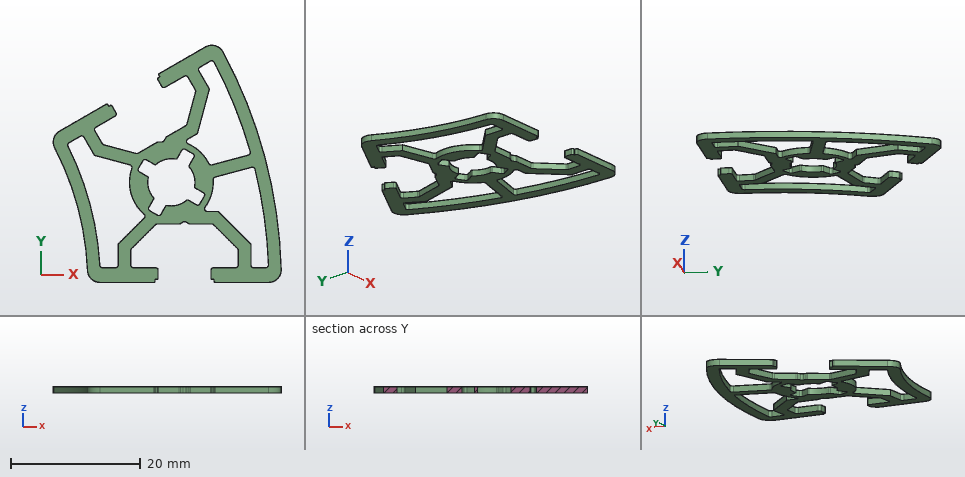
import cadquery as cq
import math

thickness = 1.0
sweep_angle = 30.0
outer_radius = 75.0
inner_radius = 45.0
mean_radius = (outer_radius + inner_radius) / 2
wall = 2.0
corner_radius = wall

lip_thickness = 2.3
mouth_half_width = 4.08
mouth_step = 0.48
leg_half_width = 8.3
leg_height = 5.15
land_height = 9.05
flank_angle = 45.0
land_half_width = leg_half_width - (land_height - leg_height) / math.tan(math.radians(flank_angle))
notch_half_width = 0.77
notch_slope = 30.0
notch_depth = notch_half_width * math.tan(math.radians(notch_slope))
rim_fillet = 0.22
cavity_fillet = 0.4
notch_fillet = 0.48
match_tolerance = 0.005

hub_radius = 6.5
bore_radius = 3.65
cross_width = 2.13
cross_reach = 5.48
cross_angle = 45.0
cross_fillet = 0.35
bore_edge_fillet = 0.22

pocket_fillet = 0.4


def symmetric_prism(half_profile):
    """Extrude a half profile closed by its mirror image about the slot centre line."""
    mirrored = [(-across, height) for across, height in reversed(half_profile) if across > 0]
    outline = [(mean_radius + across, height) for across, height in half_profile + mirrored]
    return cq.Workplane("XY").polyline(outline).close().extrude(thickness)


def at_far_end(body):
    """Mirror a body of the first end onto the other end of the sector."""
    return body.mirror("XZ").rotate((0, 0, 0), (0, 0, 1), sweep_angle)


def ring_sector(small_radius, large_radius):
    """Sector of a flat ring spanning the sweep angle."""

    def polar(radius, angle):
        return (radius * math.cos(math.radians(angle)), radius * math.sin(math.radians(angle)))

    return (
        cq.Workplane("XY")
        .moveTo(small_radius, 0)
        .lineTo(large_radius, 0)
        .threePointArc(polar(large_radius, sweep_angle / 2), polar(large_radius, sweep_angle))
        .lineTo(*polar(small_radius, sweep_angle))
        .threePointArc(polar(small_radius, sweep_angle / 2), polar(small_radius, 0))
        .close()
        .extrude(thickness)
    )


def on_hub(body):
    """Move a body from the origin to the hub centre, in the middle of the sector."""
    return body.translate((mean_radius, 0, 0)).rotate((0, 0, 0), (0, 0, 1), sweep_angle / 2)


def round_slot_corners(body, corners, radius):
    """Round the upright edges of a slot body at the given (across, height) corners."""

    def is_listed(edge):
        across = abs(edge.Center().x - mean_radius)
        height = edge.Center().y
        return any(math.hypot(across - a, height - h) < match_tolerance for a, h in corners)

    return body.edges("|Z").filter(is_listed).fillet(radius)


def slot_space():
    """Open space of one T-slot, with rounded corners and a V notch in its floor."""
    head = [(leg_half_width, -mouth_step), (leg_half_width, 0)]
    outer_rim = (mouth_half_width + mouth_step, 0)
    step_corner = (mouth_half_width + mouth_step, mouth_step)
    inner_rim = (mouth_half_width, mouth_step)
    cavity = [
        (mouth_half_width, lip_thickness),
        (leg_half_width, lip_thickness),
        (leg_half_width, leg_height),
        (land_half_width, land_height),
    ]
    notch = [(notch_half_width, land_height), (0, land_height + notch_depth)]

    space = symmetric_prism(head + [outer_rim, step_corner, inner_rim] + cavity + notch)
    space = round_slot_corners(space, [outer_rim, inner_rim], rim_fillet)
    space = round_slot_corners(space, cavity, cavity_fillet)
    return round_slot_corners(space, notch, notch_fillet)


def slot_housing():
    """Solid block around one T-slot: its cavity outline grown by the wall."""
    bend_shift = wall * math.tan(math.radians(flank_angle / 2))
    return symmetric_prism(
        [
            (leg_half_width + wall, 0),
            (leg_half_width + wall, leg_height + bend_shift),
            (land_half_width + bend_shift, land_height + wall),
        ]
    )


def end_lips():
    """Flat strip of lip thickness along the first end face."""
    return cq.Workplane("XY").rect(outer_radius, lip_thickness, centered=False).extrude(thickness)


def pockets():
    """Closed hollows left between the side walls, the slots, the hub and the spoke."""
    hollow = ring_sector(inner_radius + wall, outer_radius - wall)
    for block in (end_lips(), slot_housing()):
        hollow = hollow.cut(block).cut(at_far_end(block))
    hub = cq.Workplane("XY").circle(hub_radius).extrude(thickness)
    spoke_length = outer_radius - mean_radius
    spoke = cq.Workplane("XY").center(spoke_length / 2, 0).rect(spoke_length, wall).extrude(thickness)
    hollow = hollow.cut(on_hub(hub)).cut(on_hub(spoke))
    hollow = hollow.edges("|Z").fillet(pocket_fillet)
    return hollow.cut(slot_housing()).cut(at_far_end(slot_housing()))


def cross_bore():
    """Round bore with four slots in a cross, all corners rounded."""
    cross = cq.Workplane("XY").rect(2 * cross_reach, cross_width).extrude(thickness)
    cross = cross.edges("|Z").fillet(cross_fillet)
    cross = cross.union(cross.rotate((0, 0, 0), (0, 0, 1), 90))
    inner_corners = cq.selectors.BoxSelector(
        (-bore_radius, -bore_radius, 0), (bore_radius, bore_radius, thickness)
    )
    bore = cq.Workplane("XY").circle(bore_radius).extrude(thickness).union(cross)
    bore = bore.edges("|Z").edges(inner_corners).fillet(bore_edge_fillet)
    return on_hub(bore.rotate((0, 0, 0), (0, 0, 1), cross_angle))


body = ring_sector(inner_radius, outer_radius).edges("|Z").fillet(corner_radius)
body = body.cut(slot_space()).cut(at_far_end(slot_space()))
result = body.cut(pockets()).cut(cross_bore())